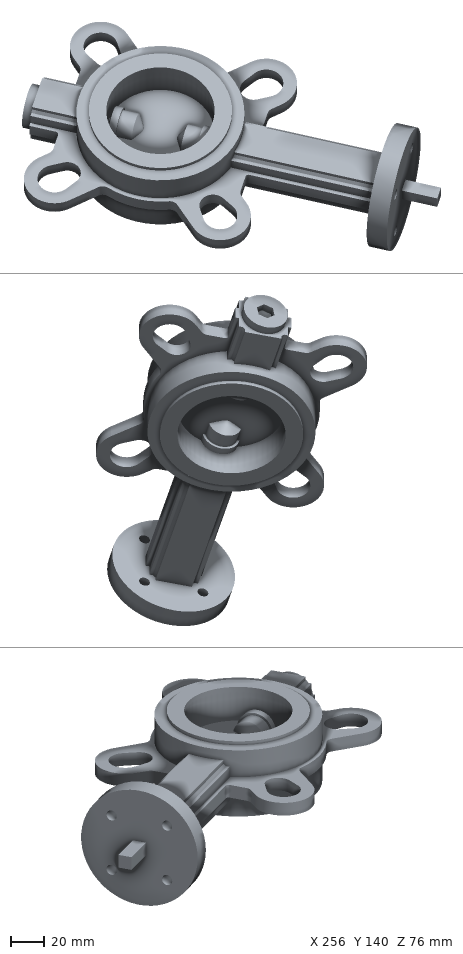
import cadquery as cq
import math


overall_length = 256.0
plug_end_x = -82.5
stem_end_x = plug_end_x + overall_length

ring_radius = 50.5
ring_height = 44.0
face_radius = 43.0
face_height = 49.0
bore_radius = 32.5

plate_thickness = 8.5
plate_radius = 53.0
plate_half_length = 58.4
plate_half_width = 34.5
lug_span = 140.0
lug_radius = 18.5
lug_offset = lug_span / 2 - lug_radius
lug_fillet = 5.0
rib_fillet = 1.8

slot_outer_radius = 10.2
slot_inner_radius = 8.2
slot_inner_offset = lug_offset - 6.1

neck_start_x = -76.8
neck_half_width = 15.0
neck_flat_half_width = 11.3
neck_corner_bevel = 1.5
rib_half_width = 17.5

flange_start_x = 139.0
flange_thickness = 12.5
flange_end_x = flange_start_x + flange_thickness
flange_diameter = 76.0
bolt_count = 4
bolt_circle_radius = 25.5
bolt_first_angle = 45.0
bolt_hole_radius = 3.3

disc_thickness = 4.0
hub_radius = 10.0
hub_tip_x = 9.2
hub_shoulder_x = 15.4
collar_radius = 11.5
collar_start_x = 25.0
hub_end_radius = 32.0

stem_width = 8.5
plug_radius = 13.5
socket_across_flats = 10.0
socket_depth = 5.0
socket_turn = 10.0


def flat_disk(radius, height):
    """A disk around the bore axis, centred on the origin."""
    return cq.Workplane("XY").circle(radius).extrude(height / 2, both=True)


def plane_across_stem(x):
    """A workplane at x facing +X, with its local axes along Y and Z."""
    return cq.Workplane("YZ", origin=(x, 0, 0))


def at_all_lugs(first_lug):
    """Repeat a shape made at the (+X, +Y) lug on all four lugs."""
    along_x = first_lug.union(first_lug.mirror("YZ"))
    return along_x.union(along_x.mirror("XZ"))


def make_lug():
    """A rounded arm from the bore axis out to the (+X, +Y) lug centre."""
    arm_length = lug_offset * math.sqrt(2)
    arm = (
        cq.Workplane("XY")
        .moveTo(0, -lug_radius)
        .lineTo(arm_length, -lug_radius)
        .threePointArc((arm_length + lug_radius, 0), (arm_length, lug_radius))
        .lineTo(0, lug_radius)
        .close()
        .extrude(plate_thickness / 2, both=True)
    )
    return arm.rotate((0, 0, 0), (0, 0, 1), 45)


def make_slot():
    """A cutter for the (+X, +Y) lug: two circles of unlike size and their outer tangents."""
    outer_x = lug_offset * math.sqrt(2)
    inner_x = slot_inner_offset * math.sqrt(2)
    taper = math.asin((slot_outer_radius - slot_inner_radius) / (outer_x - inner_x))
    tangent_x = math.sin(taper)
    tangent_y = math.cos(taper)
    outer_touch_x = outer_x - slot_outer_radius * tangent_x
    outer_touch_y = slot_outer_radius * tangent_y
    inner_touch_x = inner_x - slot_inner_radius * tangent_x
    inner_touch_y = slot_inner_radius * tangent_y
    slot = (
        cq.Workplane("XY")
        .moveTo(inner_touch_x, -inner_touch_y)
        .lineTo(outer_touch_x, -outer_touch_y)
        .threePointArc((outer_x + slot_outer_radius, 0), (outer_touch_x, outer_touch_y))
        .lineTo(inner_touch_x, inner_touch_y)
        .threePointArc((inner_x - slot_inner_radius, 0), (inner_touch_x, -inner_touch_y))
        .close()
        .extrude(plate_thickness / 2, both=True)
    )
    return slot.rotate((0, 0, 0), (0, 0, 1), 45)


def make_ribs():
    """One flat bar whose two long sides stand out of the neck as ribs."""
    length = flange_start_x - neck_start_x
    middle_x = (flange_start_x + neck_start_x) / 2
    return cq.Workplane("XY").box(length, 2 * rib_half_width, plate_thickness).translate((middle_x, 0, 0))


def fillet_inner_corners(plate, x, y, radius):
    """Round the four upright plate edges nearest to (+-x, +-y)."""
    for side_x in (-x, x):
        for side_y in (-y, y):
            plate = plate.edges(cq.selectors.NearestToPointSelector((side_x, side_y, 0))).fillet(radius)
    return plate


def make_lug_plate():
    """The plate with its four slotted lugs and the neck ribs, filleted where their sides meet."""
    plate = flat_disk(plate_radius, plate_thickness)
    plate = plate.union(cq.Workplane("XY").box(2 * plate_half_length, 2 * plate_half_width, plate_thickness))
    plate = plate.union(at_all_lugs(make_lug()))
    plate = plate.union(make_ribs())

    arm_side_shift = lug_radius * math.sqrt(2)
    plate = fillet_inner_corners(plate, plate_half_length, rib_half_width, rib_fillet)
    plate = fillet_inner_corners(plate, plate_half_length, plate_half_length - arm_side_shift, lug_fillet)

    meet_x = (math.sqrt(2 * plate_radius ** 2 - arm_side_shift ** 2) - arm_side_shift) / 2
    plate = fillet_inner_corners(plate, meet_x, meet_x + arm_side_shift, lug_fillet)
    return plate.cut(at_all_lugs(make_slot()))


def make_neck():
    """The bar along X; one corner outline is turned to all four corners."""
    bevel_end = neck_flat_half_width + neck_corner_bevel
    corner = [
        (neck_half_width, neck_flat_half_width),
        (bevel_end, neck_flat_half_width),
        (neck_flat_half_width, bevel_end),
        (neck_flat_half_width, neck_half_width),
    ]
    outline = []
    for _ in range(4):
        outline += corner
        corner = [(-z, y) for y, z in corner]
    return plane_across_stem(neck_start_x).polyline(outline).close().extrude(flange_start_x - neck_start_x)


def make_flange():
    """The round actuator flange with its bolt holes."""
    flange = plane_across_stem(flange_start_x).circle(flange_diameter / 2).extrude(flange_thickness)
    bolt_holes = (
        plane_across_stem(flange_start_x)
        .polarArray(bolt_circle_radius, bolt_first_angle, 360, bolt_count)
        .circle(bolt_hole_radius)
        .extrude(flange_thickness)
    )
    return flange.cut(bolt_holes)


def make_stem():
    """The square stem end standing out of the flange."""
    return plane_across_stem(flange_end_x).rect(stem_width, stem_width).extrude(stem_end_x - flange_end_x)


def make_plug():
    """A round plug on the neck end with a hexagon socket."""
    plug = plane_across_stem(plug_end_x).circle(plug_radius).extrude(neck_start_x - plug_end_x)
    across_corners = 2 * socket_across_flats / math.sqrt(3)
    socket = plane_across_stem(plug_end_x).polygon(6, across_corners).extrude(socket_depth)
    return plug.cut(socket.rotate((0, 0, 0), (1, 0, 0), 90 - socket_turn))


def make_housing():
    """The ring with its raised faces, lug plate, neck, flange, stem end and plug, bored through."""
    housing = flat_disk(ring_radius, ring_height).union(flat_disk(face_radius, face_height))
    housing = housing.union(make_lug_plate()).union(make_neck()).union(make_flange())
    housing = housing.union(make_stem()).union(make_plug())
    return housing.cut(flat_disk(bore_radius, face_height))


def make_hub():
    """The +X hub: a cone tip, a cylinder and a collar whose end is part of a sphere."""
    collar_end_x = math.sqrt(hub_end_radius ** 2 - collar_radius ** 2)
    half_angle = math.asin(collar_radius / hub_end_radius) / 2
    sphere_middle = (hub_end_radius * math.cos(half_angle), hub_end_radius * math.sin(half_angle))
    return (
        cq.Workplane("XZ")
        .moveTo(hub_tip_x, 0)
        .lineTo(hub_shoulder_x, hub_radius)
        .lineTo(collar_start_x, hub_radius)
        .lineTo(collar_start_x, collar_radius)
        .lineTo(collar_end_x, collar_radius)
        .threePointArc(sphere_middle, (hub_end_radius, 0))
        .close()
        .revolve(360, (0, 0, 0), (1, 0, 0))
    )


def make_hubs():
    """Two opposite hubs around the stem axis, each a separate solid."""
    return [make_hub().rotate((0, 0, 0), (0, 0, 1), turn) for turn in (0, 180)]


def make_disc(hubs):
    """The closing disc, recessed to let the hubs in."""
    disc = flat_disk(bore_radius, disc_thickness)
    for hub in hubs:
        disc = disc.cut(hub)
    return disc


housing = make_housing()
hubs = make_hubs()
disc = make_disc(hubs)

result = cq.Compound.makeCompound([housing.val(), disc.val(), *[hub.val() for hub in hubs]])